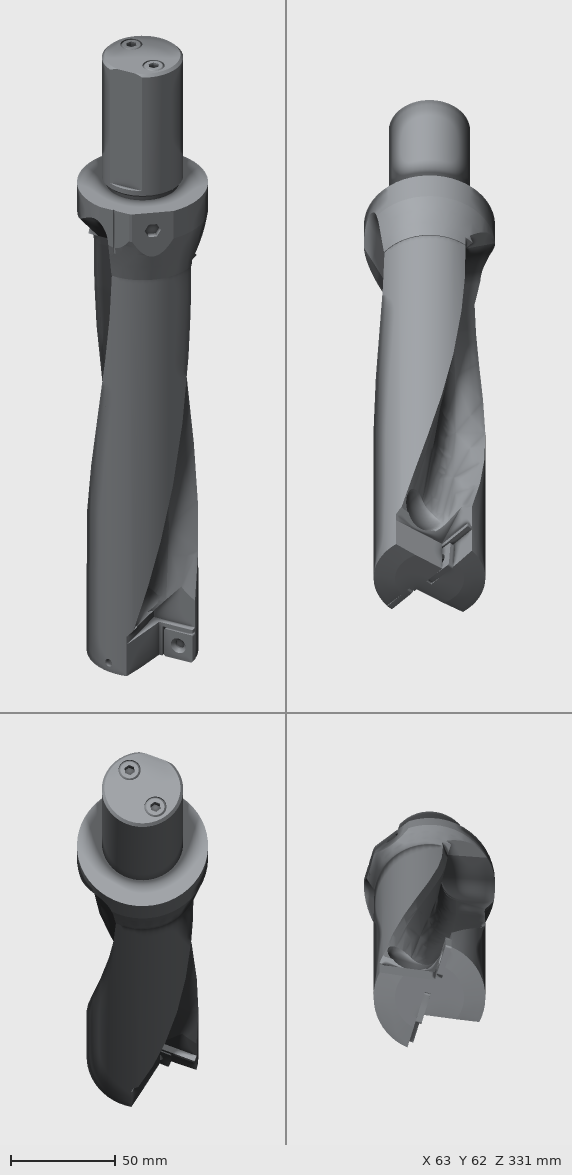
import cadquery as cq
import math


TOTAL_LENGTH = 331.0
BODY_BOTTOM = 0.5
BODY_RADIUS = 26.8
FACE_RADIUS = 16.5
FACE_RISE = 0.5
BODY_TOP = 221.8
TAPER_FOOT_RADIUS = 27.0
TAPER_TOP = 245.3
COLLAR_RADIUS = 31.5
COLLAR_TOP = 260.5
NECK_RADIUS = 17.5
NECK_TOP = 262.8
SHANK_RADIUS = 19.5
SHANK_CHAMFER = 1.3
OUTSIDE = 39.7

SHANK_FLAT_DISTANCE = 17.5
SHANK_FLAT_BOTTOM = 266.8
FRONT_FLAT_DISTANCE = 30.5
PLUG_FLAT_DISTANCE = 29.8
PLUG_FLAT_ANGLE = 36.0
MARK_WIDTH = 1.0
MARK_DEPTH = 0.5

FLUTE_COUNT = 2
FLUTE_BOTTOM = 26.5
FLUTE_TURN = 78.0
FLUTE_TURN_POWER = 1.6
FLUTE_SECTIONS = 9
FLUTE_FLOOR_Y = -2.3
FLUTE_WALL_X = -3.15
FLUTE_FILLET = 10.0
FLUTE_WALL_LEAN = 3.3
LIP_X = -22.5
LIP_RISE = 15.0
RUNOUT_ANGLE = 45.0
SCOOP_RADIUS = 12.0
SCOOP_X = -13.2
SCOOP_Y = 12.5
SCOOP_Z = 33.0

POCKET_TOP = 19.0
POCKET_INNER_X = 9.0
POCKET_OUTER_X = 4.5
UPPER_POCKET_Y = 3.0
UPPER_POCKET_WALL_Z = 23.2
UPPER_POCKET_RIM_Z = 48.0
INSERT_SIDE = 15.2
INSERT_THICKNESS = 3.0
INSERT_CORNER = 1.0
INSERT_HOLE = 4.5
INSERT_SINK = 8.0
SINK_ANGLE = 90.0
OUTER_INSERT_X = 11.5
OUTER_INSERT_Z = 0.5
SEAT_CLEARANCE = 1.0
INNER_INSERT_CENTRE_X = -6.5
INNER_INSERT_TILT = 5.0
COOLANT_X = -5.0
COOLANT_Z = 6.3
COOLANT_RADIUS = 2.0
COOLANT_DEPTH = 6.5

TOP_PLUG_X = 9.3
TOP_PLUG_Y = -6.5
TOP_PLUG_RADIUS = 5.3
TOP_PLUG_CHAMFER = 1.0
TOP_PLUG_SOCKET = 5.3
SIDE_PLUG_Z = 250.5
SIDE_PLUG_RADIUS = 6.3
SIDE_PLUG_SOCKET = 8.0
PLUG_LENGTH = 6.5
SOCKET_DEPTH = 3.3

FILLET_CENTRE_X = FLUTE_WALL_X - FLUTE_FILLET
FILLET_CENTRE_Y = FLUTE_FLOOR_Y - FLUTE_FILLET
HALF_CHORD = FLUTE_FILLET * math.sqrt(0.5)

RUNOUT_SLOPE = math.radians(RUNOUT_ANGLE)
FLUTE_RISE = FLUTE_FILLET * (1 - math.sin(RUNOUT_SLOPE)) / math.cos(RUNOUT_SLOPE)
RUNOUT_SETBACK = FLUTE_FILLET * math.sin(RUNOUT_SLOPE) - FLUTE_RISE * math.cos(RUNOUT_SLOPE)

Z_AXIS = (cq.Vector(0, 0, 0), cq.Vector(0, 0, 1))


def make_blank():
    """Turned outline of body, collar, neck and shank."""
    outline = [
        (0, BODY_BOTTOM),
        (FACE_RADIUS, BODY_BOTTOM),
        (BODY_RADIUS, BODY_BOTTOM + FACE_RISE),
        (BODY_RADIUS, BODY_TOP),
        (TAPER_FOOT_RADIUS, BODY_TOP),
        (COLLAR_RADIUS, TAPER_TOP),
        (COLLAR_RADIUS, COLLAR_TOP),
        (NECK_RADIUS, COLLAR_TOP),
        (NECK_RADIUS, NECK_TOP),
        (SHANK_RADIUS - SHANK_CHAMFER, NECK_TOP),
        (SHANK_RADIUS, NECK_TOP + SHANK_CHAMFER),
        (SHANK_RADIUS, TOTAL_LENGTH - SHANK_CHAMFER),
        (SHANK_RADIUS - SHANK_CHAMFER, TOTAL_LENGTH),
        (0, TOTAL_LENGTH),
    ]
    return cq.Workplane("XZ").polyline(outline).close().revolve(360, (0, 0), (0, 1))


def flat_cutter(distance, bottom, top, angle=0.0):
    """Block that leaves a flat facing -Y, turned about Z by the angle."""
    block = cq.Workplane("XY").box(2 * OUTSIDE, OUTSIDE, top - bottom, centered=(True, False, False))
    block = block.translate((0, -distance - OUTSIDE, bottom))
    return block.rotate(*Z_AXIS, angle)


def flute_section(fall):
    """Flute outline at a fraction of the way down from its top (0) to its bottom (1)."""
    height = BODY_TOP - fall * (BODY_TOP - FLUTE_BOTTOM)
    fade = (1 - fall) ** 2
    lean = FLUTE_WALL_LEAN * fall**2
    section = (
        cq.Workplane("XY")
        .workplane(offset=height)
        .moveTo(-OUTSIDE, FLUTE_FLOOR_Y + LIP_RISE * fade)
        .lineTo(LIP_X, FLUTE_FLOOR_Y)
        .lineTo(FILLET_CENTRE_X, FLUTE_FLOOR_Y)
        .threePointArc(
            (FILLET_CENTRE_X + HALF_CHORD, FILLET_CENTRE_Y + HALF_CHORD),
            (FLUTE_WALL_X, FILLET_CENTRE_Y),
        )
        .lineTo(FLUTE_WALL_X - lean, -OUTSIDE)
        .lineTo(-OUTSIDE, -OUTSIDE)
        .close()
    )
    return section.val().rotate(*Z_AXIS, -FLUTE_TURN * fall**FLUTE_TURN_POWER)


def make_flute_cutter():
    steps = FLUTE_SECTIONS - 1
    sections = [flute_section(1 - step / steps) for step in range(FLUTE_SECTIONS)]
    return cq.Workplane(cq.Solid.makeLoft(sections))


def make_flute_top_cutter():
    """Straight continuation of the flute up to its runout."""
    return cq.Workplane(cq.Solid.extrudeLinear(flute_section(0), [], cq.Vector(0, 0, FLUTE_RISE)))


def make_runout_cutter():
    """Sloping end of the flute, where it leaves through the taper and the collar."""
    plane = cq.Plane(
        origin=(0, FILLET_CENTRE_Y, BODY_TOP),
        xDir=(1, 0, 0),
        normal=(0, -math.sin(RUNOUT_SLOPE), math.cos(RUNOUT_SLOPE)),
    )
    runout = (
        cq.Workplane(plane)
        .workplane(offset=-RUNOUT_SETBACK)
        .moveTo(FLUTE_WALL_X, -OUTSIDE)
        .lineTo(FLUTE_WALL_X, 0)
        .threePointArc((FILLET_CENTRE_X + HALF_CHORD, HALF_CHORD), (FILLET_CENTRE_X, FLUTE_FILLET))
        .lineTo(LIP_X, FLUTE_FILLET)
        .lineTo(-OUTSIDE, FLUTE_FILLET + LIP_RISE * math.sin(RUNOUT_SLOPE))
        .lineTo(-OUTSIDE, -OUTSIDE)
        .close()
        .extrude(2 * OUTSIDE)
    )
    above_body = cq.Workplane("XY", origin=(0, 0, BODY_TOP)).circle(OUTSIDE).extrude(2 * OUTSIDE)
    return runout.intersect(above_body)


def make_scoop_cutter():
    """Ball-shaped lower end of the flute."""
    return cq.Workplane("XY").sphere(SCOOP_RADIUS).translate((SCOOP_X, SCOOP_Y, SCOOP_Z))


def make_pocket_cutter():
    """Chip pocket at the tip on the +X side, open towards -Y."""
    outline = [
        (POCKET_INNER_X, 0),
        (OUTSIDE, 0),
        (OUTSIDE, -OUTSIDE),
        (POCKET_OUTER_X, -OUTSIDE),
        (POCKET_OUTER_X, -BODY_RADIUS),
    ]
    return cq.Workplane("XY").polyline(outline).close().extrude(POCKET_TOP)


def make_upper_pocket_cutter():
    """Deeper part of the chip pocket, which leads from the inserts into the flute."""
    outline = [
        (POCKET_OUTER_X, POCKET_TOP),
        (POCKET_OUTER_X, UPPER_POCKET_WALL_Z),
        (BODY_RADIUS, UPPER_POCKET_RIM_Z),
        (OUTSIDE, UPPER_POCKET_RIM_Z),
        (OUTSIDE, POCKET_TOP),
    ]
    plane = cq.Workplane("XZ", origin=(0, UPPER_POCKET_Y, 0))
    return plane.polyline(outline).close().extrude(OUTSIDE)


def make_insert():
    """Square insert, cutting face on Y=0 facing -Y, lower left corner at the origin."""
    plate = (
        cq.Workplane("XZ")
        .rect(INSERT_SIDE, INSERT_SIDE, centered=False)
        .extrude(-INSERT_THICKNESS)
        .edges("|Y")
        .fillet(INSERT_CORNER)
    )
    return (
        plate.faces("<Y")
        .workplane(origin=(INSERT_SIDE / 2, 0, INSERT_SIDE / 2))
        .cskHole(INSERT_HOLE, INSERT_SINK, SINK_ANGLE)
    )


def make_outer_insert():
    return make_insert().translate((OUTER_INSERT_X, 0, OUTER_INSERT_Z))


def make_inner_insert():
    """Insert facing +Y, tilted so that its outer corner is the lowest point of the drill."""
    insert = make_insert().translate((-INSERT_SIDE / 2, 0, -INSERT_SIDE / 2))
    insert = insert.rotate((0, 0, 0), (0, 1, 0), INNER_INSERT_TILT).rotate(*Z_AXIS, 180)
    lowest = insert.val().BoundingBox().zmin
    return insert.translate((INNER_INSERT_CENTRE_X, 0, -lowest))


def seat_cutter(left):
    """Seat behind an insert, open to the outside and to the drilling face."""
    seat_top = OUTER_INSERT_Z + INSERT_SIDE + SEAT_CLEARANCE
    return (
        cq.Workplane("XY")
        .box(OUTSIDE, INSERT_THICKNESS, seat_top, centered=False)
        .translate((left, 0, 0))
    )


def make_plug(radius, socket):
    """Plug along Z with its outer end on Z=0 and a hexagon socket in that end."""
    plug = cq.Workplane("XY").circle(radius).extrude(-PLUG_LENGTH)
    return plug.cut(cq.Workplane("XY").polygon(6, socket).extrude(-SOCKET_DEPTH))


def place_on_top(shape, turn):
    return shape.translate((TOP_PLUG_X, TOP_PLUG_Y, TOTAL_LENGTH)).rotate(*Z_AXIS, turn)


def place_on_side(shape):
    """Lay a shape from the Z axis into the angled flat of the collar."""
    shape = shape.rotate((0, 0, 0), (1, 0, 0), 90)
    return shape.translate((0, -PLUG_FLAT_DISTANCE, SIDE_PLUG_Z)).rotate(*Z_AXIS, PLUG_FLAT_ANGLE)


def plug_hole(radius):
    return cq.Workplane("XY").circle(radius).extrude(-PLUG_LENGTH)


drill = make_blank()
drill = drill.cut(flat_cutter(SHANK_FLAT_DISTANCE, SHANK_FLAT_BOTTOM, TOTAL_LENGTH))
drill = drill.cut(flat_cutter(FRONT_FLAT_DISTANCE, BODY_TOP, COLLAR_TOP))
drill = drill.cut(flat_cutter(PLUG_FLAT_DISTANCE, BODY_TOP, COLLAR_TOP, PLUG_FLAT_ANGLE))

mark_groove = (
    cq.Workplane("XY")
    .box(MARK_WIDTH, OUTSIDE, COLLAR_TOP - BODY_TOP, centered=(True, False, False))
    .translate((0, MARK_DEPTH - FRONT_FLAT_DISTANCE - OUTSIDE, BODY_TOP))
)
drill = drill.cut(mark_groove)

half_turns = [360 * index / FLUTE_COUNT for index in range(FLUTE_COUNT)]
flute_cutters = [
    make_flute_cutter(),
    make_flute_top_cutter(),
    make_runout_cutter(),
    make_scoop_cutter(),
    make_pocket_cutter(),
    make_upper_pocket_cutter(),
]
for turn in half_turns:
    for cutter in flute_cutters:
        drill = drill.cut(cutter.rotate(*Z_AXIS, turn))

drill = drill.cut(seat_cutter(OUTER_INSERT_X - SEAT_CLEARANCE))
inner_seat_left = -(INNER_INSERT_CENTRE_X + INSERT_SIDE / 2 + SEAT_CLEARANCE)
drill = drill.cut(seat_cutter(inner_seat_left).rotate(*Z_AXIS, 180))

coolant_hole = (
    cq.Workplane("XZ", origin=(COOLANT_X, COOLANT_DEPTH - BODY_RADIUS, COOLANT_Z))
    .circle(COOLANT_RADIUS)
    .extrude(OUTSIDE)
)
drill = drill.cut(coolant_hole)

for turn in half_turns:
    drill = drill.cut(place_on_top(plug_hole(TOP_PLUG_RADIUS), turn))
drill = drill.cut(place_on_side(plug_hole(SIDE_PLUG_RADIUS)))

outer_insert = make_outer_insert()
inner_insert = make_inner_insert()

top_plug = make_plug(TOP_PLUG_RADIUS, TOP_PLUG_SOCKET)
top_plug = top_plug.faces(">Z").edges("%CIRCLE").chamfer(TOP_PLUG_CHAMFER)
top_plugs = [place_on_top(top_plug, turn) for turn in half_turns]
side_plug = place_on_side(make_plug(SIDE_PLUG_RADIUS, SIDE_PLUG_SOCKET))

result = cq.Compound.makeCompound(
    [
        drill.solids().val(),
        outer_insert.val(),
        inner_insert.val(),
        *[plug.val() for plug in top_plugs],
        side_plug.val(),
    ]
)